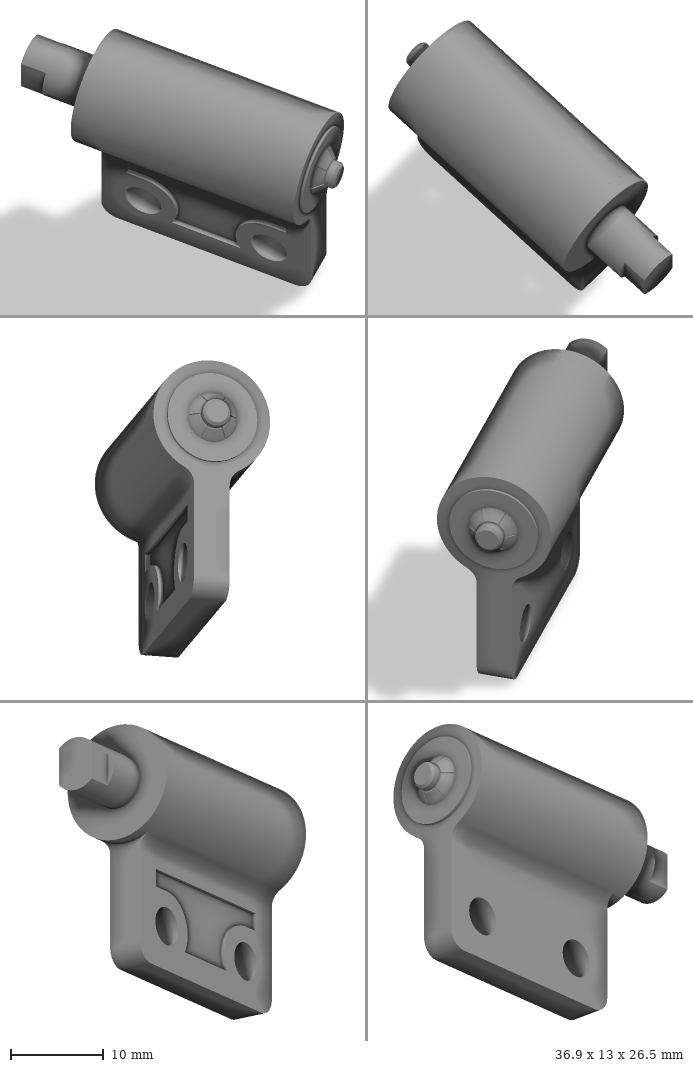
import cadquery as cq
import math

total_length = 36.9

barrel_radius = 6.5
barrel_start = 9.5
barrel_length = 24.98
barrel_end = barrel_start + barrel_length

plate_thickness = 4.0
plate_bottom = -20.0
plate_corner_radius = 2.0
neck_fillet_radius = 2.0

hole_diameter = 4.28
hole_spacing = 14.98
hole_height = -14.98
plate_middle = barrel_start + barrel_length / 2

recess_depth = 0.5
recess_width = 19.0
recess_top = -9.0
recess_bottom = -17.0
boss_radius = 4.0

flange_thickness = 1.55
flange_start = barrel_start - flange_thickness
sleeve_radius = 4.98
sleeve_projection = 0.35
sleeve_end = barrel_end + sleeve_projection

shaft_radius = 3.0
flats_length = 2.95
flats_thickness = 4.3
cone_base_radius = 2.8
cone_top_radius = 1.7
cone_length = 1.0
cone_end = sleeve_end + cone_length
tip_radius = 1.5
tip_chamfer = 0.3

slit_count = 6
slit_width = 0.15
slit_depth = 0.2


def cylinder_along_x(start, end, radius):
    return cq.Workplane("YZ").workplane(offset=start).circle(radius).extrude(end - start)


def make_plate():
    """Plate with rounded lower corners, reaching up to the shaft axis."""
    return (
        cq.Workplane("XY")
        .box(barrel_length, plate_thickness, -plate_bottom)
        .translate((plate_middle, 0, plate_bottom / 2))
        .edges("|Y and <Z")
        .fillet(plate_corner_radius)
    )


def make_neck():
    """Flared neck whose concave sides are tangent to both the plate and the barrel."""
    half_thickness = plate_thickness / 2
    center_y = half_thickness + neck_fillet_radius
    center_distance = barrel_radius + neck_fillet_radius
    center_z = -math.sqrt(center_distance**2 - center_y**2)

    barrel_share = barrel_radius / center_distance
    touch_y = center_y * barrel_share
    touch_z = center_z * barrel_share

    middle_angle = math.atan2(-center_z, center_y) / 2
    middle_y = center_y - neck_fillet_radius * math.cos(middle_angle)
    middle_z = center_z + neck_fillet_radius * math.sin(middle_angle)

    return (
        cq.Workplane("YZ")
        .workplane(offset=barrel_start)
        .moveTo(touch_y, touch_z)
        .threePointArc((middle_y, middle_z), (half_thickness, center_z))
        .lineTo(-half_thickness, center_z)
        .threePointArc((-middle_y, middle_z), (-touch_y, touch_z))
        .close()
        .extrude(barrel_length)
    )


def cylinders_at_holes(diameter, front, depth):
    """Two cylinders on the mounting hole centres, running from Y = front toward +Y."""
    return (
        cq.Workplane("XZ", origin=(plate_middle, front, hole_height))
        .pushPoints([(-hole_spacing / 2, 0), (hole_spacing / 2, 0)])
        .circle(diameter / 2)
        .extrude(-depth)
    )


def make_recess():
    """Recess between the holes: a wide band above, narrowed by the round boss of each hole."""
    front = -plate_thickness / 2
    band_bottom = hole_height + boss_radius
    band_height = recess_top - band_bottom
    waist_height = band_bottom - recess_bottom

    band = (
        cq.Workplane("XZ", origin=(plate_middle, front, band_bottom + band_height / 2))
        .rect(recess_width, band_height)
        .extrude(-recess_depth)
    )
    waist = (
        cq.Workplane("XZ", origin=(plate_middle, front, recess_bottom + waist_height / 2))
        .rect(hole_spacing, waist_height)
        .extrude(-recess_depth)
        .cut(cylinders_at_holes(2 * boss_radius, front, recess_depth))
    )
    return band.union(waist)


def make_housing():
    barrel = cylinder_along_x(barrel_start, barrel_end, barrel_radius)
    bore = cylinder_along_x(barrel_start, barrel_end, sleeve_radius)
    holes = cylinders_at_holes(hole_diameter, -plate_thickness / 2, plate_thickness)
    return make_plate().union(make_neck()).union(barrel).cut(bore).cut(holes).cut(make_recess())


def make_bushing():
    flange = cylinder_along_x(flange_start, barrel_start, barrel_radius)
    sleeve = cylinder_along_x(barrel_start, sleeve_end, sleeve_radius)
    bore = cylinder_along_x(flange_start, sleeve_end, shaft_radius)
    return flange.union(sleeve).cut(bore)


def make_turned_shaft():
    """Full round profile of the shaft, revolved about X."""
    return (
        cq.Workplane("XZ")
        .moveTo(0, 0)
        .lineTo(0, shaft_radius)
        .lineTo(sleeve_end, shaft_radius)
        .lineTo(sleeve_end, cone_base_radius)
        .lineTo(cone_end, cone_top_radius)
        .lineTo(cone_end, tip_radius)
        .lineTo(total_length - tip_chamfer, tip_radius)
        .lineTo(total_length, tip_radius - tip_chamfer)
        .lineTo(total_length, 0)
        .close()
        .revolve(360, (0, 0, 0), (1, 0, 0))
    )


def make_flats():
    """Keeps only the middle of the driving end, leaving two parallel flats."""
    slab = cq.Workplane("XY").box(flats_length, flats_thickness, 2 * shaft_radius)
    envelope = cq.Workplane("XY").box(flats_length, 2 * shaft_radius, 2 * shaft_radius)
    return envelope.cut(slab).translate((flats_length / 2, 0, 0))


def make_slit():
    """Thin groove that follows the cone along its -Y side."""
    return (
        cq.Workplane("XY")
        .moveTo(sleeve_end, -cone_base_radius)
        .lineTo(cone_end, -cone_top_radius)
        .lineTo(cone_end, -cone_top_radius + slit_depth)
        .lineTo(sleeve_end, -cone_base_radius + slit_depth)
        .close()
        .extrude(slit_width / 2, both=True)
    )


def make_shaft():
    shaft = make_turned_shaft().cut(make_flats())
    slit = make_slit()
    for index in range(slit_count):
        angle = index * 360 / slit_count
        shaft = shaft.cut(slit.rotate((0, 0, 0), (1, 0, 0), angle))
    return shaft


housing = make_housing()
bushing = make_bushing()
shaft = make_shaft()

result = cq.Compound.makeCompound([housing.val(), bushing.val(), shaft.val()])